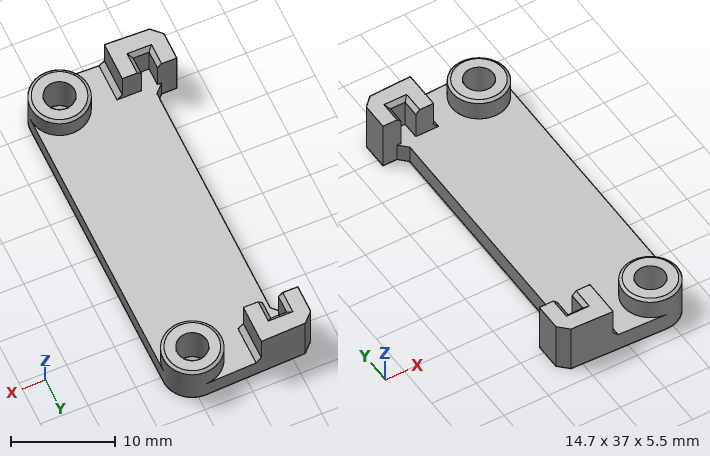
import cadquery as cq
import math

width = 14.7
length = 37.05
plate_thickness = 2.0
plate_left = 2.5

boss_radius = 3.05
boss_height = 4.35
bore_diameter = 3.15
boss_rim_height = 0.22
boss_rim_inset = 0.35
boss_x = width - boss_radius
boss_y = length / 2 - boss_radius

clip_height = 5.5
clip_right = 5.7
clip_inner_y = 14.1
clip_outer_y = 18.15
corner_chamfer = 1.05
foot_chamfer = 0.55

slot_left = 2.05
slot_right = 3.7
slot_end_y = 16.05
slot_flare = 0.45
slot_mouth_left = slot_left - slot_flare
web_chamfer = plate_left - slot_mouth_left

run = boss_x - corner_chamfer
rise = boss_y - clip_outer_y
tangent_angle = math.atan2(-rise, -run) - math.acos(boss_radius / math.hypot(run, rise))
tangent_x = boss_x + boss_radius * math.cos(tangent_angle)
tangent_y = boss_y + boss_radius * math.sin(tangent_angle)
arc_mid_x = boss_x + boss_radius * math.cos(math.pi / 4)
arc_mid_y = boss_y + boss_radius * math.sin(math.pi / 4)


def end_outline():
    """Outline of the +Y half, including the clip footprint."""
    return (
        cq.Workplane("XY")
        .moveTo(plate_left, 0)
        .lineTo(plate_left, clip_inner_y - web_chamfer)
        .lineTo(slot_mouth_left, clip_inner_y)
        .lineTo(0, clip_inner_y)
        .lineTo(0, clip_outer_y - corner_chamfer)
        .lineTo(corner_chamfer, clip_outer_y)
        .lineTo(tangent_x, tangent_y)
        .threePointArc((arc_mid_x, arc_mid_y), (width, boss_y))
        .lineTo(width, 0)
        .close()
    )


def clip():
    """Raised clip following the end outline, with a chamfered foot."""
    profile = (
        cq.Workplane("XZ", origin=(0, clip_inner_y, 0))
        .moveTo(0, 0)
        .lineTo(0, clip_height)
        .lineTo(clip_right, clip_height)
        .lineTo(clip_right, plate_thickness + foot_chamfer)
        .lineTo(clip_right + foot_chamfer, plate_thickness)
        .lineTo(clip_right + foot_chamfer, 0)
        .close()
        .extrude(clip_inner_y - length / 2)
    )
    return profile.intersect(end_outline().extrude(clip_height))


def slot_rectangle(z, margin):
    """Slot section at height z, enlarged by margin and open towards the middle."""
    return cq.Workplane("XY", origin=(0, 0, z)).polyline([
        (slot_left - margin, clip_inner_y),
        (slot_right + margin, clip_inner_y),
        (slot_right + margin, slot_end_y + margin),
        (slot_left - margin, slot_end_y + margin),
    ]).close()


def slot():
    flare_bottom = clip_height - slot_flare
    shaft = slot_rectangle(plate_thickness, 0).extrude(clip_height - plate_thickness)
    mouth_wires = [
        slot_rectangle(flare_bottom, 0).val(),
        slot_rectangle(clip_height, slot_flare).val(),
    ]
    mouth = cq.Solid.makeLoft(mouth_wires, True)
    return shaft.union(cq.Workplane(mouth))


def boss():
    """Round boss with a bevelled rim."""
    return (
        cq.Workplane("XY", origin=(boss_x, boss_y, 0))
        .circle(boss_radius)
        .extrude(boss_height)
        .faces(">Z")
        .chamfer(boss_rim_height, boss_rim_inset)
    )


def bore():
    return (
        cq.Workplane("XY", origin=(boss_x, boss_y, 0))
        .circle(bore_diameter / 2)
        .extrude(boss_height)
    )


half = (
    end_outline().extrude(plate_thickness)
    .union(clip())
    .cut(slot())
    .union(boss())
    .cut(bore())
)
result = half.union(half.mirror("XZ")).clean()